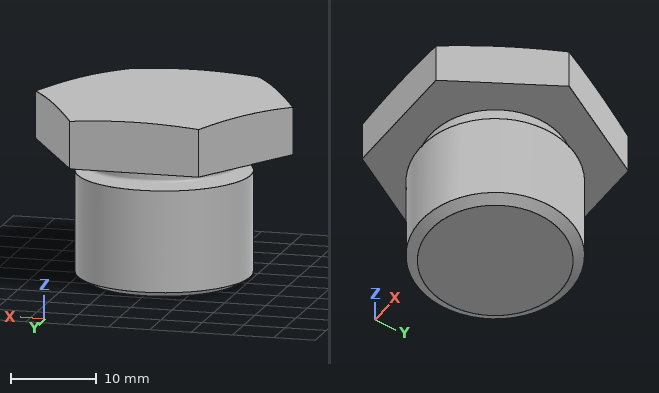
import cadquery as cq
import math

ACROSS_FLATS = 27.0
ACROSS_CORNERS = ACROSS_FLATS / math.cos(math.pi / 6)
HEAD_HEIGHT = 6.2
HEAD_FACE_DIAMETER = 26.0
HEAD_CHAMFER_ANGLE = 10.5

TOTAL_HEIGHT = 22.0
SHANK_LENGTH = TOTAL_HEIGHT - HEAD_HEIGHT
SHANK_RADIUS = 20.88 / 2
END_CHAMFER_RADIUS = 18.2 / 2
END_CHAMFER_ANGLE = 30.0

GROOVE_RADIUS = 18.2 / 2
GROOVE_WIDTH = 2.8
GROOVE_SIDE_ANGLE = 30.0
GROOVE_FILLET_RADIUS = 0.35


def revolve_about_z(profile):
    """Revolve a closed (radius, height) profile about the Z axis."""
    return cq.Workplane("XZ").polyline(profile).close().revolve(360, (0, 0, 0), (0, 1, 0))


def make_head():
    """Hexagon with two corners on X, its top corners trimmed by a shallow cone."""
    hexagon = (
        cq.Workplane("XY")
        .workplane(offset=SHANK_LENGTH)
        .polygon(6, ACROSS_CORNERS)
        .extrude(HEAD_HEIGHT)
    )
    face_radius = HEAD_FACE_DIAMETER / 2
    envelope_radius = ACROSS_CORNERS
    drop = (envelope_radius - face_radius) * math.tan(math.radians(HEAD_CHAMFER_ANGLE))
    envelope = revolve_about_z([
        (0, SHANK_LENGTH),
        (envelope_radius, SHANK_LENGTH),
        (envelope_radius, TOTAL_HEIGHT - drop),
        (face_radius, TOTAL_HEIGHT),
        (0, TOTAL_HEIGHT),
    ])
    return hexagon.intersect(envelope)


def make_shank():
    """Round shank with a chamfered end and a relief groove under the head."""
    end_chamfer_slope = math.tan(math.radians(END_CHAMFER_ANGLE))
    end_chamfer_height = (SHANK_RADIUS - END_CHAMFER_RADIUS) * end_chamfer_slope
    side_bottom = SHANK_LENGTH - GROOVE_WIDTH
    side_slope = math.tan(math.radians(GROOVE_SIDE_ANGLE))
    side_top = side_bottom + (SHANK_RADIUS - GROOVE_RADIUS) * side_slope
    shank = revolve_about_z([
        (0, 0),
        (END_CHAMFER_RADIUS, 0),
        (SHANK_RADIUS, end_chamfer_height),
        (SHANK_RADIUS, side_bottom),
        (GROOVE_RADIUS, side_top),
        (GROOVE_RADIUS, SHANK_LENGTH),
        (0, SHANK_LENGTH),
    ])
    groove_corner = cq.selectors.BoxSelector(
        (-SHANK_RADIUS, -SHANK_RADIUS, side_top - GROOVE_FILLET_RADIUS),
        (SHANK_RADIUS, SHANK_RADIUS, side_top + GROOVE_FILLET_RADIUS),
    )
    return shank.edges(groove_corner).fillet(GROOVE_FILLET_RADIUS)


result = make_head().union(make_shank())